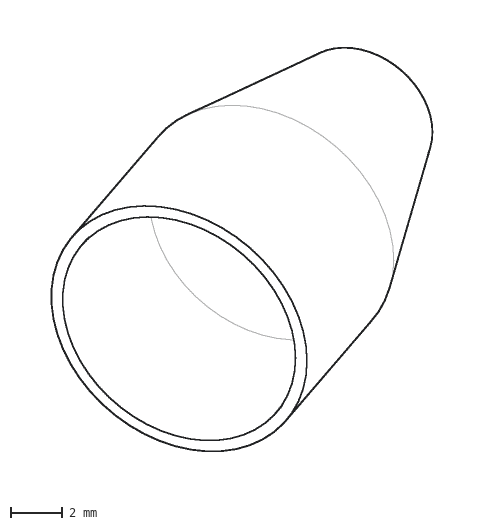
import cadquery as cq

total_length = 17.0
tube_length = 8.0
tube_diameter = 11.0
nose_tip_diameter = 6.0
wall = 0.5

tube_radius = tube_diameter / 2
tip_radius = nose_tip_diameter / 2

wall_section = (
    cq.Workplane("XY")
    .moveTo(tube_radius - wall, 0)
    .lineTo(tube_radius, 0)
    .lineTo(tube_radius, tube_length)
    .lineTo(tip_radius, total_length)
    .lineTo(tip_radius - wall, total_length)
    .lineTo(tube_radius - wall, tube_length)
    .close()
)

result = wall_section.revolve(360, (0, 0, 0), (0, 1, 0))